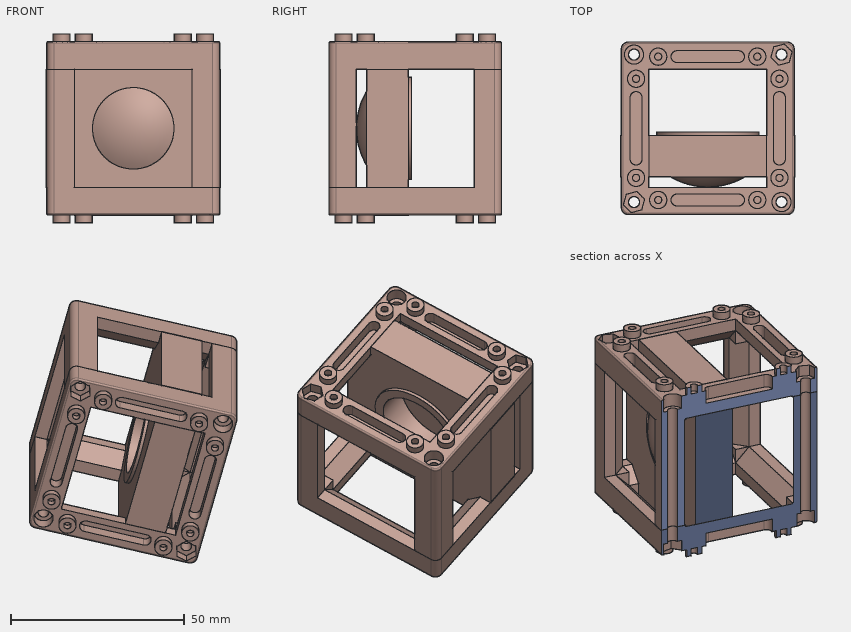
import cadquery as cq
import math

cube_length = 49.9
cube_width = 49.8
cube_height = 50.05
window_side = 34.0
corner_radius = 2.1
rim_radius = 0.5
bar_bevel = 4.3
half_height = cube_height / 2
ring_depth = (cube_height - window_side) / 2
half_window = window_side / 2

screw_offset = 21.25
screw_hole_diameter = 3.1
counterbore_diameter = 5.5
counterbore_depth = 4.0
nut_corner_diameter = 6.3
nut_depth = 3.4
nut_turn = 15

boss_row = 20.65
boss_spacing = 28.55
boss_diameter = 4.95
boss_hole_diameter = 2.05
overall_height = 54.5
boss_height = (overall_height - cube_height) / 2
slot_length = 21.15
slot_width = 3.45
slot_depth = ring_depth / 2

insert_span = 50.2
insert_front = -14.0
insert_thickness = 12.0
insert_back = insert_front + insert_thickness
lip_thickness = 0.55
lip_opening_diameter = 23.5
bore_diameter = 25.5
lens_diameter = 25.4
lens_front = -17.0
lens_dome_radius = 21.1
lens_thickness = 6.55
lens_back = lens_front + lens_thickness
ring_flange_diameter = 29.6
ring_flange_thickness = 1.0
ring_inner_diameter = 23.85


def make_opening():
    """Square window along Z, widened by a diamond prism that bevels the bars between the corner blocks."""
    window = cq.Workplane("XY").box(window_side, window_side, 2 * cube_height)
    diamond_side = (2 * half_window + bar_bevel) * math.sqrt(2)
    diamond = cq.Workplane("XY").rect(diamond_side, diamond_side).extrude(half_window, both=True)
    return window.union(diamond.rotate((0, 0, 0), (0, 0, 1), 45))


def make_skeleton():
    """Whole cube frame: twelve bevelled bars with a square block at every corner."""
    block = cq.Workplane("XY").box(cube_length, cube_width, cube_height)
    block = block.edges("|Z").fillet(corner_radius)
    block = block.faces("<Z or >Z").edges().fillet(rim_radius)
    opening = make_opening()
    opening_along_y = opening.rotate((0, 0, 0), (1, 0, 0), 90)
    opening_along_x = opening.rotate((0, 0, 0), (0, 1, 0), 90)
    return block.cut(opening).cut(opening_along_y).cut(opening_along_x)


def end_disc(points, diameter, start, height):
    """Cylinders along Z at the given points, rising from the given height."""
    return cq.Workplane("XY").workplane(offset=start).pushPoints(points).circle(diameter / 2).extrude(height)


def make_half():
    """Upper half: the top ring with the two legs that hang from opposite corners."""
    leg_corners = [(-screw_offset, screw_offset), (screw_offset, -screw_offset)]
    nut_corners = [(screw_offset, screw_offset), (-screw_offset, -screw_offset)]

    ring_plane = cq.Workplane("XY").workplane(offset=half_window)
    ring_zone = ring_plane.rect(cube_length, cube_width).extrude(ring_depth)
    leg_zone = (
        cq.Workplane("XY")
        .pushPoints([(-cube_length / 2, cube_width / 2), (cube_length / 2, -cube_width / 2)])
        .rect(cube_length - window_side, cube_width - window_side)
        .extrude(half_window, both=True)
    )
    half = make_skeleton().intersect(ring_zone.union(leg_zone))

    half = half.cut(end_disc(leg_corners + nut_corners, screw_hole_diameter, -half_height, cube_height))
    recess_floor = half_height - counterbore_depth
    half = half.cut(end_disc(leg_corners, counterbore_diameter, recess_floor, counterbore_depth))
    for corner in nut_corners:
        nut_pocket = (
            cq.Workplane("XY")
            .workplane(offset=half_height - nut_depth)
            .polygon(6, nut_corner_diameter)
            .extrude(nut_depth)
            .rotate((0, 0, 0), (0, 0, 1), nut_turn)
            .translate((corner[0], corner[1], 0))
        )
        half = half.cut(nut_pocket)

    slot = (
        cq.Workplane("XY")
        .workplane(offset=half_height - slot_depth)
        .center(0, boss_row)
        .slot2D(slot_length, slot_width)
        .extrude(slot_depth)
    )
    boss_points = [(-boss_spacing / 2, boss_row), (boss_spacing / 2, boss_row)]
    bosses = end_disc(boss_points, boss_diameter, half_height, boss_height)
    bosses = bosses.cut(end_disc(boss_points, boss_hole_diameter, half_height, boss_height))
    for turn in range(4):
        half = half.cut(slot.rotate((0, 0, 0), (0, 0, 1), 90 * turn))
        half = half.union(bosses.rotate((0, 0, 0), (0, 0, 1), 90 * turn))
    return half


def y_disc(diameter, start, length):
    """Cylinder along Y from the given Y position."""
    return cq.Workplane("XZ").workplane(offset=-start).circle(diameter / 2).extrude(-length)


def make_insert():
    """Cross-shaped lens holder that fills the section between the bars."""
    tip = insert_span / 2
    bevel_end = half_window + bar_bevel
    corner = [(tip, half_window), (bevel_end, half_window), (half_window, bevel_end), (half_window, tip)]
    outline = []
    for sign_x, sign_z in [(1, 1), (-1, 1), (-1, -1), (1, -1)]:
        points = [(sign_x * x, sign_z * z) for x, z in corner]
        outline += points if sign_x == sign_z else points[::-1]
    front_plane = cq.Workplane("XZ").workplane(offset=-insert_front)
    body = front_plane.polyline(outline).close().extrude(-insert_thickness)
    body = body.cut(y_disc(lip_opening_diameter, insert_front, insert_thickness))
    return body.cut(y_disc(bore_diameter, insert_front + lip_thickness, insert_thickness))


def make_lens():
    """Plano-convex lens with its dome toward -Y."""
    dome = cq.Workplane("XY").sphere(lens_dome_radius).translate((0, lens_front + lens_dome_radius, 0))
    return y_disc(lens_diameter, lens_front, lens_thickness).intersect(dome)


def make_ring():
    """Flanged ring in the bore that holds the lens against the lip."""
    ring = y_disc(bore_diameter, lens_back, insert_back - lens_back)
    ring = ring.union(y_disc(ring_flange_diameter, insert_back, ring_flange_thickness))
    return ring.cut(y_disc(ring_inner_diameter, lens_back, cube_height))


upper_half = make_half()
lower_half = upper_half.rotate((0, 0, 0), (1, 0, 0), 180)
insert = make_insert()
lens = make_lens()
retaining_ring = make_ring()

result = cq.Compound.makeCompound(
    [upper_half.val(), lower_half.val(), insert.val(), lens.val(), retaining_ring.val()]
)